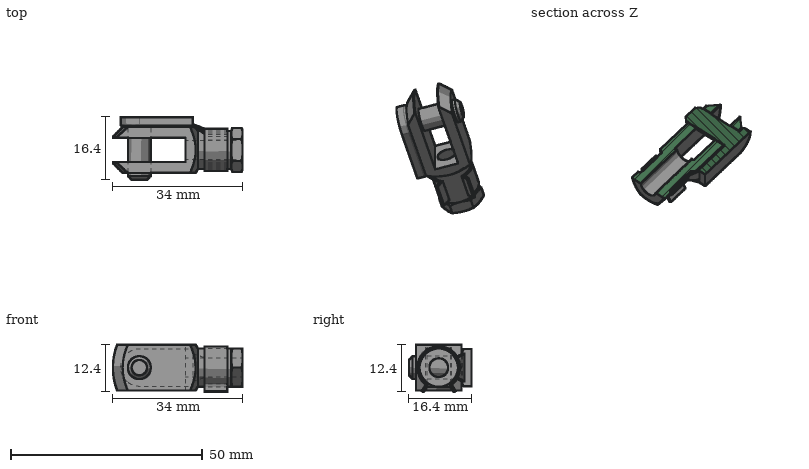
import cadquery as cq
import math


fork_size = 12.0
half_fork = fork_size / 2
slot_width = 6.25
slot_end_x = 12.0
fork_tip_x = -6.95
fork_tip_radius = 16.55
tip_bevel = 2.6
shoulder_angle = 30.0

shank_radius = 5.0
shank_start_x = 15.3
hex_start_x = 24.0
hex_end_x = 27.0
hex_across_flats = 10.0
hex_bevel_depth = 0.3
thread_hole_diameter = 4.92

pin_diameter = 6.0
pin_tip_y = -7.8
pin_tip_chamfer = 1.0

arm_bottom_y = 6.2
arm_top_y = 8.6
arm_half_width = 4.88
arm_end_x = 14.0
arm_edge_radius = 0.5

sheet_thickness = 0.55
band_start_x = 17.0
band_end_x = 23.0
band_radius = shank_radius + sheet_thickness
tab_tilt = 56.0
tab_tip_radius = 7.545
tab_root_fillet = 0.4
strip_arm_half_width = 3.65
strip_band_half_width = 2.6


def along_x(start_x):
    """Workplane across the X axis, with local axes Y and Z."""
    return cq.Workplane("YZ", origin=(start_x, 0, 0))


def along_y(start_y):
    """Workplane across the Y axis that extrudes toward +Y, with local axes -X and Z."""
    return cq.Workplane(cq.Plane(origin=(0, start_y, 0), xDir=(-1, 0, 0), normal=(0, 1, 0)))


def make_fork():
    length = shank_start_x - fork_tip_x
    block = along_x(fork_tip_x).rect(fork_size, fork_size).extrude(length)

    disc_center_x = fork_tip_x + fork_tip_radius
    disc = along_y(-half_fork).center(-disc_center_x, 0).circle(fork_tip_radius).extrude(fork_size)
    disc = disc.edges().chamfer(tip_bevel)

    corner_radius = fork_size
    cone_length = (corner_radius - shank_radius) * math.tan(math.radians(shoulder_angle))
    turned = (
        cq.Workplane("XY")
        .moveTo(fork_tip_x, 0)
        .lineTo(fork_tip_x, corner_radius)
        .lineTo(shank_start_x - cone_length, corner_radius)
        .lineTo(shank_start_x, shank_radius)
        .lineTo(shank_start_x, 0)
        .close()
        .revolve(360, (0, 0, 0), (1, 0, 0))
    )

    slot_length = slot_end_x - fork_tip_x
    slot = along_x(fork_tip_x).rect(slot_width, fork_size).extrude(slot_length)
    return block.intersect(disc).intersect(turned).cut(slot)


def make_hexagon():
    across_corners = hex_across_flats / math.cos(math.pi / 6)
    prism = along_x(hex_start_x).polygon(6, across_corners).extrude(hex_end_x - hex_start_x)

    flat_radius = hex_across_flats / 2
    corner_radius = across_corners / 2
    turned = (
        cq.Workplane("XY")
        .moveTo(hex_start_x, 0)
        .lineTo(hex_start_x, flat_radius)
        .lineTo(hex_start_x + hex_bevel_depth, corner_radius)
        .lineTo(hex_end_x - hex_bevel_depth, corner_radius)
        .lineTo(hex_end_x, flat_radius)
        .lineTo(hex_end_x, 0)
        .close()
        .revolve(360, (0, 0, 0), (1, 0, 0))
    )
    return prism.intersect(turned)


def make_clevis():
    shank = along_x(shank_start_x).circle(shank_radius).extrude(hex_start_x - shank_start_x)
    thread_hole = along_x(slot_end_x).circle(thread_hole_diameter / 2).extrude(hex_end_x - slot_end_x)
    pin_hole = along_y(-half_fork).circle(pin_diameter / 2).extrude(fork_size)
    return make_fork().union(shank).union(make_hexagon()).cut(thread_hole).cut(pin_hole)


def make_pin():
    pin = along_y(pin_tip_y).circle(pin_diameter / 2).extrude(arm_bottom_y - pin_tip_y)
    return pin.faces("<Y").chamfer(pin_tip_chamfer)


def make_arm():
    """Flat bar with a round head over the pin and a rounded lower edge."""
    height = arm_top_y - arm_bottom_y
    arm = (
        along_y(arm_bottom_y)
        .moveTo(-arm_end_x, arm_half_width)
        .lineTo(0, arm_half_width)
        .threePointArc((arm_half_width, 0), (0, -arm_half_width))
        .lineTo(-arm_end_x, -arm_half_width)
        .close()
        .extrude(height)
    )
    return arm.faces("<Y").edges("not >X").fillet(arm_edge_radius)


def make_band():
    """Open ring around the shank, with a tab standing out at each side of its gap."""
    length = band_end_x - band_start_x
    band = along_x(band_start_x).circle(band_radius).extrude(length)
    for tilt in (-tab_tilt, tab_tilt - 180):
        tab = (
            along_x(band_start_x)
            .transformed(rotate=(0, 0, tilt))
            .center(tab_tip_radius / 2, 0)
            .rect(tab_tip_radius, sheet_thickness)
            .extrude(length)
        )
        band = band.union(tab)

    tilt_radians = math.radians(tab_tilt)
    gap_apex_z = -sheet_thickness / 2 / math.cos(tilt_radians)
    gap_depth = 2 * tab_tip_radius
    gap_half_width = gap_depth / math.tan(tilt_radians)
    gap = (
        along_x(band_start_x)
        .moveTo(0, gap_apex_z)
        .lineTo(gap_half_width, gap_apex_z - gap_depth)
        .lineTo(-gap_half_width, gap_apex_z - gap_depth)
        .close()
        .extrude(length)
    )
    band = band.cut(gap)

    root_angle = math.asin(sheet_thickness / 2 / band_radius) - tilt_radians
    root_y = band_radius * math.cos(root_angle)
    root_z = band_radius * math.sin(root_angle)
    middle_x = (band_start_x + band_end_x) / 2
    for y in (root_y, -root_y):
        band = band.edges(cq.NearestToPointSelector((middle_x, y, root_z))).fillet(tab_root_fillet)

    bore = along_x(band_start_x).circle(shank_radius).extrude(length)
    return band.cut(bore)


def make_strip():
    """Tapering sheet that runs from the flat end of the arm to the round band."""
    strip_top_y = arm_bottom_y + sheet_thickness
    arm_section = (
        along_x(arm_end_x)
        .moveTo(arm_bottom_y, -strip_arm_half_width)
        .lineTo(strip_top_y, -strip_arm_half_width)
        .lineTo(strip_top_y, strip_arm_half_width)
        .lineTo(arm_bottom_y, strip_arm_half_width)
        .close()
    )
    outer_y = math.sqrt(band_radius**2 - strip_band_half_width**2)
    inner_y = math.sqrt(shank_radius**2 - strip_band_half_width**2)
    band_section = (
        along_x(band_start_x)
        .moveTo(inner_y, -strip_band_half_width)
        .lineTo(outer_y, -strip_band_half_width)
        .threePointArc((band_radius, 0), (outer_y, strip_band_half_width))
        .lineTo(inner_y, strip_band_half_width)
        .threePointArc((shank_radius, 0), (inner_y, -strip_band_half_width))
        .close()
    )
    return cq.Workplane(cq.Solid.makeLoft([arm_section.val(), band_section.val()], True))


clevis = make_clevis()
strip = make_strip().cut(clevis)
clip = make_pin().union(make_arm()).union(make_band()).union(strip)

result = cq.Compound.makeCompound([clevis.val(), clip.val()])